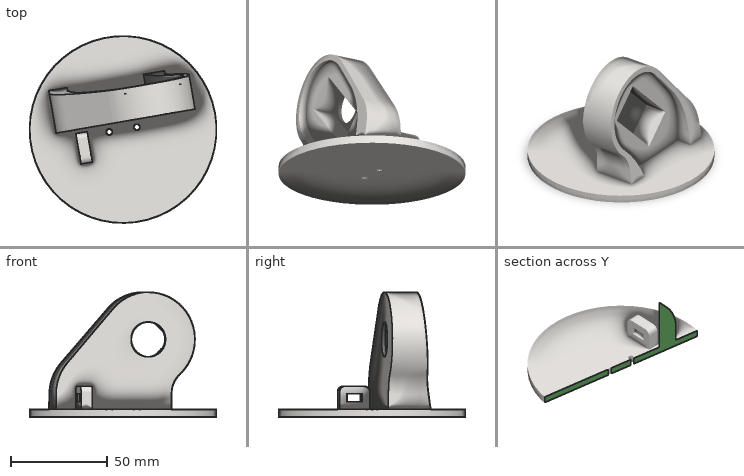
import cadquery as cq
import math

TURN_ANGLE = 9.8

BASE_DIAMETER = 97.0
BASE_THICKNESS = 4.0
SCREW_HOLE_DIAMETER = 3.0
SCREW_HOLE_SPACING = 14.5

TOTAL_HEIGHT = 64.78
HEAD_RADIUS = 24.5
HEAD_U = 14.1
HEAD_Z = TOTAL_HEIGHT - HEAD_RADIUS
FOOT_LEFT_U = -34.5
FOOT_RIGHT_U = 26.3
FOOT_STRAIGHT_TOP_Z = 12.2

FRONT_V = 4.1
TOP_DEPTH = 16.8
MIDDLE_DEPTH = 18.55
FOOT_DEPTH = 22.3
WEB_THICKNESS = 14.0

RIM_THICKNESS = 3.0
HOLLOW_LEFT_U = -25.0
HOLLOW_LEFT_RADIUS = 44.0
HOLLOW_RIGHT_U = 15.3
HOLLOW_RIGHT_TANGENT_ANGLE = math.radians(46.5)

SHAFT_HOLE_DIAMETER = 18.0
POCKET_WIDTH = 20.0
POCKET_LENGTH = 40.0
POCKET_ANGLE = 45.0
POCKET_FLOOR_THICKNESS = 2.0

TAB_LENGTH = 16.0
TAB_WIDTH = 6.0
TAB_HEIGHT = 12.0
TAB_CENTER_U = -21.5
TAB_CENTER_V = -5.9
TAB_CORNER_RADIUS = 3.0
SLOT_LENGTH = 8.0
SLOT_HEIGHT = 4.0
SLOT_BOTTOM_Z = BASE_THICKNESS + 4.0

CUT_MARGIN = 5.0

SHOULDER_U = FOOT_LEFT_U + HEAD_RADIUS
SHOULDER_Z = FOOT_STRAIGHT_TOP_Z
SLOPE_ANGLE = math.atan2(HEAD_Z - SHOULDER_Z, HEAD_U - SHOULDER_U)
SLOPE_NORMAL_ANGLE = SLOPE_ANGLE + math.pi / 2


def on_circle(center, radius, angle):
    """Point on a circle at an angle measured from +u towards +z."""
    return (center[0] + radius * math.cos(angle), center[1] + radius * math.sin(angle))


def extrude_outline(start_v, depth, draw):
    """Extrude a (u, z) outline from start_v towards +v."""
    sketch = cq.Workplane("XZ", origin=(0, start_v, 0))
    return draw(sketch).close().extrude(-depth)


def make_base():
    plate = cq.Workplane("XY").circle(BASE_DIAMETER / 2).extrude(BASE_THICKNESS)
    return (
        plate.faces(">Z")
        .workplane()
        .rarray(SCREW_HOLE_SPACING, 1, 2, 1)
        .hole(SCREW_HOLE_DIAMETER)
    )


def draw_bracket_outline(sketch):
    head = (HEAD_U, HEAD_Z)
    shoulder = (SHOULDER_U, SHOULDER_Z)

    foot_offset = FOOT_RIGHT_U - HEAD_U
    rise = HEAD_Z - FOOT_STRAIGHT_TOP_Z
    fillet_radius = (foot_offset**2 + rise**2 - HEAD_RADIUS**2) / (2 * (HEAD_RADIUS - foot_offset))
    fillet = (FOOT_RIGHT_U + fillet_radius, FOOT_STRAIGHT_TOP_Z)
    neck_angle = math.atan2(-rise, fillet[0] - HEAD_U)
    fillet_end_angle = neck_angle + math.pi

    return (
        sketch.moveTo(FOOT_LEFT_U, BASE_THICKNESS)
        .lineTo(FOOT_LEFT_U, FOOT_STRAIGHT_TOP_Z)
        .threePointArc(
            on_circle(shoulder, HEAD_RADIUS, (math.pi + SLOPE_NORMAL_ANGLE) / 2),
            on_circle(shoulder, HEAD_RADIUS, SLOPE_NORMAL_ANGLE),
        )
        .lineTo(*on_circle(head, HEAD_RADIUS, SLOPE_NORMAL_ANGLE))
        .threePointArc(
            on_circle(head, HEAD_RADIUS, (SLOPE_NORMAL_ANGLE + neck_angle) / 2),
            on_circle(head, HEAD_RADIUS, neck_angle),
        )
        .threePointArc(
            on_circle(fillet, fillet_radius, (fillet_end_angle + math.pi) / 2),
            (FOOT_RIGHT_U, FOOT_STRAIGHT_TOP_Z),
        )
        .lineTo(FOOT_RIGHT_U, BASE_THICKNESS)
    )


def draw_hollow_outline(sketch):
    head = (HEAD_U, HEAD_Z)
    radius = HEAD_RADIUS - RIM_THICKNESS
    slope_top = on_circle(head, radius, SLOPE_NORMAL_ANGLE)

    left_center_u = HOLLOW_LEFT_U + HOLLOW_LEFT_RADIUS
    left_end_u = left_center_u + HOLLOW_LEFT_RADIUS * math.cos(SLOPE_NORMAL_ANGLE)
    left_end_z = slope_top[1] - (slope_top[0] - left_end_u) * math.tan(SLOPE_ANGLE)
    left_center_z = left_end_z - HOLLOW_LEFT_RADIUS * math.sin(SLOPE_NORMAL_ANGLE)
    left_center = (left_center_u, left_center_z)

    right_angle = -HOLLOW_RIGHT_TANGENT_ANGLE
    return (
        sketch.moveTo(HOLLOW_LEFT_U, BASE_THICKNESS)
        .lineTo(HOLLOW_LEFT_U, left_center_z)
        .threePointArc(
            on_circle(left_center, HOLLOW_LEFT_RADIUS, (math.pi + SLOPE_NORMAL_ANGLE) / 2),
            (left_end_u, left_end_z),
        )
        .lineTo(*slope_top)
        .threePointArc(
            on_circle(head, radius, (SLOPE_NORMAL_ANGLE + right_angle) / 2),
            on_circle(head, radius, right_angle),
        )
        .tangentArcPoint((HOLLOW_RIGHT_U, BASE_THICKNESS), relative=False)
    )


def make_back_envelope():
    """Side profile whose back edge is an arc flaring from the top down to the foot."""
    middle_z = (TOTAL_HEIGHT + BASE_THICKNESS) / 2
    return (
        cq.Workplane("YZ")
        .moveTo(FRONT_V, BASE_THICKNESS)
        .lineTo(FRONT_V, TOTAL_HEIGHT)
        .lineTo(FRONT_V + TOP_DEPTH, TOTAL_HEIGHT)
        .threePointArc(
            (FRONT_V + MIDDLE_DEPTH, middle_z),
            (FRONT_V + FOOT_DEPTH, BASE_THICKNESS),
        )
        .close()
        .extrude(BASE_DIAMETER / 2, both=True)
    )


def make_bracket():
    bracket = extrude_outline(FRONT_V, FOOT_DEPTH, draw_bracket_outline)
    bracket = bracket.intersect(make_back_envelope())
    web_back_v = FRONT_V + WEB_THICKNESS
    hollow = extrude_outline(web_back_v, FOOT_DEPTH, draw_hollow_outline)
    pocket = (
        cq.Workplane("XZ", origin=(HEAD_U, FRONT_V + POCKET_FLOOR_THICKNESS, HEAD_Z))
        .transformed(rotate=(0, 0, POCKET_ANGLE))
        .center((POCKET_WIDTH - POCKET_LENGTH) / 2, 0)
        .rect(POCKET_LENGTH, POCKET_WIDTH)
        .extrude(-WEB_THICKNESS)
    )
    shaft_hole = (
        cq.Workplane("XZ", origin=(HEAD_U, FRONT_V - CUT_MARGIN, HEAD_Z))
        .circle(SHAFT_HOLE_DIAMETER / 2)
        .extrude(-(WEB_THICKNESS + CUT_MARGIN))
    )
    return bracket.cut(hollow).cut(pocket).cut(shaft_hole)


def make_tab():
    tab = (
        cq.Workplane("XY", origin=(TAB_CENTER_U, TAB_CENTER_V, BASE_THICKNESS))
        .box(TAB_WIDTH, TAB_LENGTH, TAB_HEIGHT, centered=(True, True, False))
        .faces(">Z")
        .edges("|X")
        .fillet(TAB_CORNER_RADIUS)
    )
    slot = cq.Workplane("XY", origin=(TAB_CENTER_U, TAB_CENTER_V, SLOT_BOTTOM_Z)).box(
        TAB_WIDTH + CUT_MARGIN, SLOT_LENGTH, SLOT_HEIGHT, centered=(True, True, False)
    )
    return tab.cut(slot)


result = make_base().union(make_bracket()).union(make_tab())
result = result.rotate((0, 0, 0), (0, 0, 1), TURN_ANGLE)